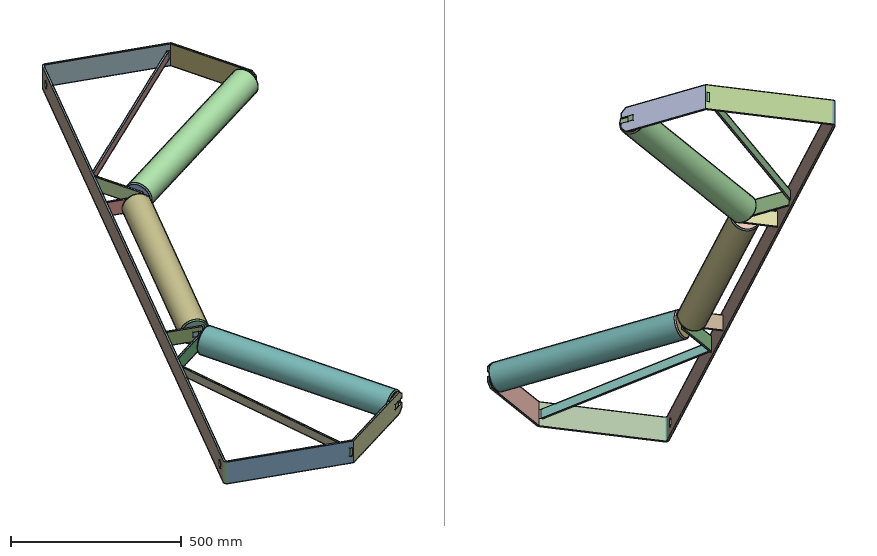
import cadquery as cq
import math

frame_length = 2000.0
strip_width = 80.0
strip_thickness = 5.0
corner_radius = 12.0

roller_diameter = 90.0
roller_length = 638.0
roller_chamfer = 5.0
roller_gap = 5.0
middle_roller_y = 100.0
side_roller_x = 585.0
side_roller_y = 342.0
side_roller_tilt = 45.0

tongue_size = 18.0
arm_tip_length = 32.0
arm_tip_chamfer = 15.0
bracket_width = 50.0
bracket_top_y = 125.0

mount_slot_x = 952.0
mount_slot_width = 18.0
mount_slot_height = 28.0

brace_width = 30.0
brace_wall_y = 390.0
brace_foot_x = 470.0

half_length = frame_length / 2
diagonal = math.sin(math.radians(side_roller_tilt))
support_inner = roller_length / 2 + roller_gap
support_outer = support_inner + strip_thickness


def side_point(along, across):
    """Point given along the left roller's axis (outward) and across it (upward)."""
    return (
        -side_roller_x + (across - along) * diagonal,
        side_roller_y + (across + along) * diagonal,
    )


def mirror_points(points):
    return [(-x, y) for x, y in reversed(points)]


def extrude_outline(points, height):
    """Closed outline in XY, extruded symmetrically about Z = 0."""
    return cq.Workplane("XY").polyline(points).close().extrude(height / 2, both=True)


def mirror_body(body):
    return body.mirror("YZ")


def place_on_side_axis(body):
    """Move a body built along X onto the left side roller's axis."""
    return (
        body.rotate((0, 0, 0), (0, 0, 1), -side_roller_tilt)
        .translate((-side_roller_x, side_roller_y, 0))
    )


def make_roller():
    drum = (
        cq.Workplane("YZ", origin=(-roller_length / 2, 0, 0))
        .circle(roller_diameter / 2)
        .extrude(roller_length)
        .faces("<X or >X")
        .chamfer(roller_chamfer)
    )
    axle = cq.Workplane("XY").box(2 * support_outer, tongue_size, tongue_size)
    return drum.union(axle)


def make_slot_cutter():
    slot_depth = tongue_size / 2 + roller_diameter
    return (
        cq.Workplane("XY")
        .box(2 * support_outer, slot_depth, tongue_size)
        .translate((0, (slot_depth - tongue_size) / 2, 0))
    )


def make_left_brace():
    foot = (-brace_foot_x, strip_thickness)
    top = (-half_length, brace_wall_y)
    slope = (top[1] - foot[1]) / (top[0] - foot[0])
    drop = strip_thickness * math.hypot(1, slope)
    foot_shift = drop / slope
    outline = [
        top,
        foot,
        (foot[0] + foot_shift, foot[1]),
        (top[0], top[1] - drop),
    ]
    return extrude_outline(outline, brace_width)


def wall_crossing(axis_distance, wall_x):
    """Corner where an arm face meets an upright wall face."""
    x, y = side_point(axis_distance, 0)
    return (wall_x, y + (wall_x - x))


def make_frame_strip():
    wall_inner_x = -half_length + strip_thickness
    left_outline = [
        (wall_inner_x, strip_thickness),
        wall_crossing(support_inner, wall_inner_x),
        side_point(support_inner, arm_tip_length),
        side_point(support_outer, arm_tip_length),
        wall_crossing(support_outer, -half_length),
        (-half_length, 0),
    ]
    strip = extrude_outline(left_outline + mirror_points(left_outline), strip_width)
    for x, side in ((-half_length, 1), (half_length, -1)):
        inner_x = x + side * strip_thickness
        strip = round_bend(strip, (x, 0), corner_radius)
        strip = round_bend(strip, (inner_x, strip_thickness), corner_radius - strip_thickness)
    return strip


def round_bend(strip, corner, radius):
    nearby = cq.selectors.NearestToPointSelector((corner[0], corner[1], 0))
    return strip.edges(nearby).fillet(radius)


def make_tip_cutter():
    """Two corner prisms that chamfer the tip of the left arm."""
    tip = arm_tip_length
    edge = strip_width / 2
    corner = [(tip, edge), (tip, edge - arm_tip_chamfer), (tip - arm_tip_chamfer, edge)]
    prism = (
        cq.Workplane("YZ", origin=(-support_outer, 0, 0))
        .polyline(corner).close().extrude(strip_thickness)
    )
    return place_on_side_axis(prism.union(prism.mirror("XY")))


def make_mount_slots():
    return (
        cq.Workplane("XZ")
        .pushPoints([(-mount_slot_x, 0), (mount_slot_x, 0)])
        .slot2D(mount_slot_height, mount_slot_width, 90)
        .extrude(-strip_thickness)
    )


def make_frame(left_brace, side_slot):
    left_cuts = make_tip_cutter().union(side_slot)
    frame = make_frame_strip().cut(make_mount_slots())
    for cutter in (left_cuts, left_brace):
        frame = frame.cut(cutter).cut(mirror_body(cutter))
    return frame


def bracket_crossing(axis_distance, y):
    """Point at height y on a bracket face square to the side roller's axis."""
    face_x, face_y = side_point(-axis_distance, 0)
    return (face_x + (y - face_y), y)


def make_left_bracket(side_slot, middle_slot):
    under_top_y = bracket_top_y - strip_thickness
    outline = [
        bracket_crossing(support_inner, strip_thickness),
        bracket_crossing(support_inner, bracket_top_y),
        (-support_inner, bracket_top_y),
        (-support_inner, strip_thickness),
        (-support_outer, strip_thickness),
        (-support_outer, under_top_y),
        bracket_crossing(support_outer, under_top_y),
        bracket_crossing(support_outer, strip_thickness),
    ]
    return extrude_outline(outline, bracket_width).cut(side_slot).cut(middle_slot)


middle_place = (0, middle_roller_y, 0)
middle_slot = make_slot_cutter().translate(middle_place)
side_slot = place_on_side_axis(make_slot_cutter())

middle_roller = make_roller().translate(middle_place)
left_roller = place_on_side_axis(make_roller())
left_brace = make_left_brace()
left_bracket = make_left_bracket(side_slot, middle_slot)
frame = make_frame(left_brace, side_slot)

bodies = [frame.val(), middle_roller.val()]
for left_body in (left_roller, left_brace, left_bracket):
    bodies.append(left_body.val())
    bodies.append(mirror_body(left_body).val())

result = cq.Compound.makeCompound(bodies)